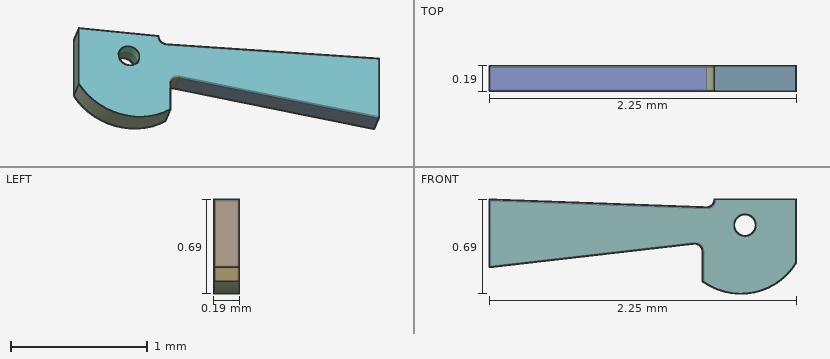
import cadquery as cq
import math

thickness = 0.1875
hole_diameter = 0.15625
tip_x = -1.875
back_x = 0.375
top_z = 0.19
head_bottom_z = -0.5035
upper_step_x = -0.225
lower_step_x = -0.3125
tip_height = 0.5
upper_taper_drop = 0.06
lower_taper_rise = 0.18
corner_radius = 0.055
edge_radius = 0.01
arc_center_x = -0.03
arc_radius = 0.475
tolerance = 1e-4

arc_center_z = head_bottom_z + arc_radius
tip_bottom_z = top_z - tip_height
upper_root_z = top_z - upper_taper_drop
lower_root_z = tip_bottom_z + lower_taper_rise


def head_arc_z(x):
    """Height of the rounded head bottom at a given X."""
    return arc_center_z - math.sqrt(arc_radius**2 - (x - arc_center_x) ** 2)


def make_blank():
    """Flat plate with the tapered arm and the rounded head."""
    outline = (
        cq.Workplane("XZ")
        .moveTo(tip_x, top_z)
        .lineTo(upper_step_x, upper_root_z)
        .lineTo(upper_step_x, top_z)
        .lineTo(back_x, top_z)
        .lineTo(back_x, head_arc_z(back_x))
        .threePointArc((arc_center_x, head_bottom_z), (lower_step_x, head_arc_z(lower_step_x)))
        .lineTo(lower_step_x, lower_root_z)
        .lineTo(tip_x, tip_bottom_z)
        .close()
    )
    return outline.extrude(thickness / 2, both=True)


def edges_across(body, x, z):
    """Edge running through the thickness at the given X and Z."""
    box = cq.selectors.BoxSelector(
        (x - tolerance, -thickness, z - tolerance),
        (x + tolerance, thickness, z + tolerance),
    )
    return body.edges("|Y").edges(box)


def round_root_corners(body):
    """Round the inside corners where the arm meets the head."""
    for x, z in ((upper_step_x, upper_root_z), (lower_step_x, lower_root_z)):
        body = edges_across(body, x, z).fillet(corner_radius)
    return body


def round_arm_edges(body):
    """Round the tip corners, then the arm's outline on both broad faces.

    The outline fillet starts at the tip edges and follows the tangent chain
    along the arm, through the root corners and up or down the step walls.
    """
    for z in (top_z, tip_bottom_z):
        body = edges_across(body, tip_x, z).fillet(edge_radius)
    tip_region = cq.selectors.BoxSelector(
        (tip_x - tolerance, -thickness, tip_bottom_z),
        (tip_x + tolerance, thickness, top_z),
    )
    return body.faces("<Y or >Y").edges(tip_region).fillet(edge_radius)


def cut_pivot_hole(body):
    """Drill the pivot hole through the thickness."""
    pin = cq.Workplane("XZ").circle(hole_diameter / 2).extrude(thickness, both=True)
    return body.cut(pin)


result = make_blank()
result = round_root_corners(result)
result = round_arm_edges(result)
result = cut_pivot_hole(result)